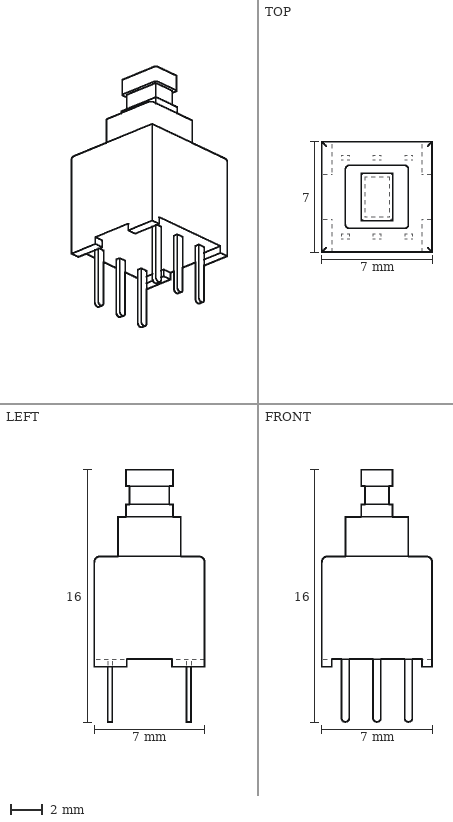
import cadquery as cq


housing_side = 7.0
housing_bottom_z = 3.5
base_top_z = 7.05
housing_top_z = 10.5
cover_edge_radius = 0.35

foot_height = 0.48
foot_size_x = 0.65
foot_size_y = 2.075

collar_side = 4.0
collar_top_z = 13.0
collar_corner_radius = 0.25

plunger_size_x = 2.0
plunger_size_y = 3.0
neck_inset = 0.23
shoulder_top_z = 13.8
neck_top_z = 14.95
plunger_top_z = 16.0
cap_corner_radius = 0.13

pin_width = 0.5
pin_thickness = 0.3
pin_tip_height = 0.2
pin_pitch_x = 2.0
pin_row_spacing = 5.0


def block(size_x, size_y, bottom_z, top_z):
    """Box centred on the Z axis between two heights."""
    return (
        cq.Workplane("XY")
        .workplane(offset=bottom_z)
        .rect(size_x, size_y)
        .extrude(top_z - bottom_z)
    )


def make_base():
    """Lower housing with a channel along X and one along Y, leaving four feet."""
    channel_top_z = housing_bottom_z + foot_height
    channel_width_x = housing_side - 2 * foot_size_x
    channel_width_y = housing_side - 2 * foot_size_y
    base = block(housing_side, housing_side, housing_bottom_z, base_top_z)
    base = base.cut(block(channel_width_x, housing_side, housing_bottom_z, channel_top_z))
    return base.cut(block(housing_side, channel_width_y, housing_bottom_z, channel_top_z))


def make_cover():
    """Upper housing with rounded top edges."""
    cover = block(housing_side, housing_side, base_top_z, housing_top_z)
    return cover.faces(">Z").edges().fillet(cover_edge_radius)


def make_collar():
    """Square guide with rounded upright corners."""
    collar = block(collar_side, collar_side, housing_top_z, collar_top_z)
    return collar.edges("|Z").fillet(collar_corner_radius)


def make_plunger():
    """Rectangular plunger with a narrower neck below its cap."""
    neck_size_x = plunger_size_x - 2 * neck_inset
    neck_size_y = plunger_size_y - 2 * neck_inset
    shoulder = block(plunger_size_x, plunger_size_y, collar_top_z, shoulder_top_z)
    neck = block(neck_size_x, neck_size_y, shoulder_top_z, neck_top_z)
    cap = block(plunger_size_x, plunger_size_y, neck_top_z, plunger_top_z)
    cap = cap.edges("|Z").fillet(cap_corner_radius)
    return shoulder.union(neck).union(cap)


def make_pin(x, y):
    """Flat blade hanging from the base, its tip a shallow arc across the full width."""
    half_width = pin_width / 2
    pin_top_z = housing_bottom_z + foot_height
    return (
        cq.Workplane("XZ", origin=(x, y, 0))
        .moveTo(-half_width, pin_top_z)
        .lineTo(-half_width, pin_tip_height)
        .threePointArc((0, 0), (half_width, pin_tip_height))
        .lineTo(half_width, pin_top_z)
        .close()
        .extrude(pin_thickness / 2, both=True)
    )


result = make_base().union(make_cover(), clean=False)
result = result.union(make_collar(), clean=False)
result = result.union(make_plunger(), clean=False)
for column in (-1, 0, 1):
    for row in (-1, 1):
        pin = make_pin(column * pin_pitch_x, row * pin_row_spacing / 2)
        result = result.union(pin, clean=False)